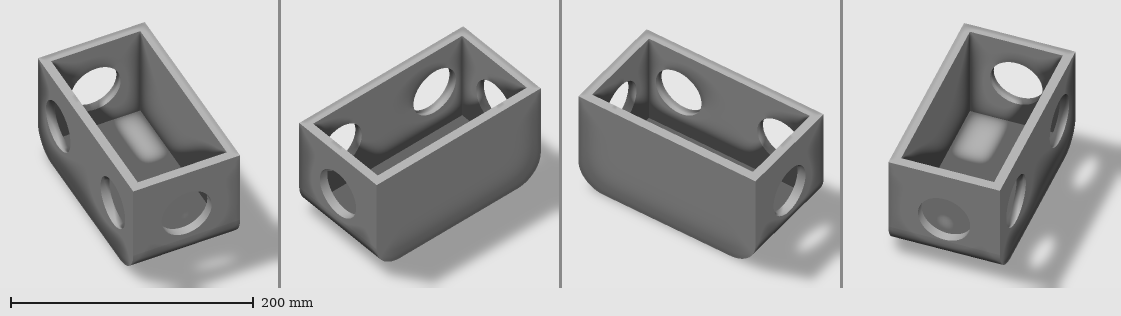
import cadquery as cq

length = 178.0
width = 98.0
height = 98.0
wall = 8.2
floor = wall
corner_radius = 25.3

hole_diameter = 46.0
front_hole_spacing = 102.0
hole_height = 53.0
left_hole_height = 49.5


def make_box():
    """Box with its two long bottom corners at the ends rounded."""
    box = cq.Workplane("XY").box(length, width, height, centered=(True, True, False))
    return box.edges("|Y and <Z").fillet(corner_radius)


def make_cavity():
    """Rectangular pocket open at the top."""
    return (
        cq.Workplane("XY")
        .workplane(offset=floor)
        .rect(length - 2 * wall, width - 2 * wall)
        .extrude(height - floor)
    )


def front_hole(x):
    """Cutter through the -Y wall only, centred at x."""
    return (
        cq.Workplane("XZ", origin=(x, -width / 2, hole_height))
        .circle(hole_diameter / 2)
        .extrude(-wall)
    )


def end_hole(x_start, z):
    """Cutter through one end wall, running in +X from x_start."""
    return cq.Workplane("YZ", origin=(x_start, 0, z)).circle(hole_diameter / 2).extrude(wall)


result = make_box().cut(make_cavity())

for side in (-1, 1):
    result = result.cut(front_hole(side * front_hole_spacing / 2))

result = result.cut(end_hole(-length / 2, left_hole_height))
result = result.cut(end_hole(length / 2 - wall, hole_height))